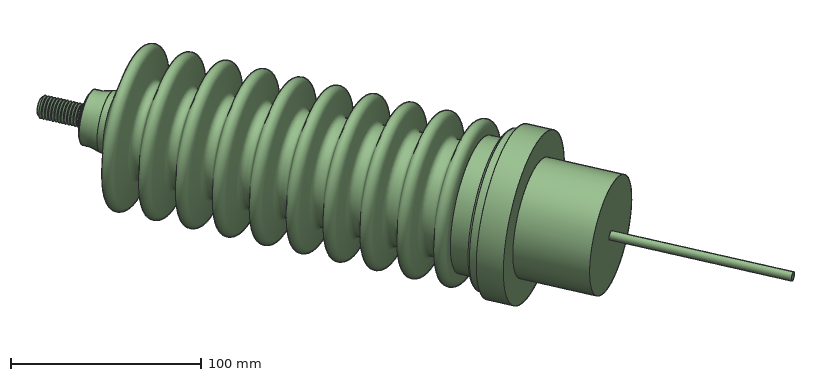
import cadquery as cq
import math


total_length = 420.5
boss_start = 24.0
collar_start = 26.0
insulator_start = 38.0
ring_start = 254.5
flange_start = 260.8
flange_end = 276.0
insulator_end = 319.0

stud_radius = 6.5
thread_pitch = 1.75
thread_depth = 1.05
tip_chamfer = 1.5
centre_hole_radius = 2.0
centre_hole_depth = 3.5
boss_front_radius = 7.5
boss_radius = 9.5
boss_cone_length = 1.3
rod_radius = 2.5

collar_face_radius = 13.0
collar_front_radius = 15.0
collar_rear_radius = 17.0
collar_chamfer_length = 1.3
collar_land_length = 4.0

insulator_front_radius = 17.0
shed_root_radius = 19.0
shed_count = 10
shed_pitch = 20.5
first_shed = 53.5
shed_radius = 45.5
shed_tip_round = 3.8
front_flank_angle = 18.0
rear_flank_angle = 9.0
last_shed_rear_angle = 0.0
core_front_radius = 25.5
core_rear_radius = 32.0
root_fillet = 2.5
seat_radius = 37.5
tail_radius = 33.0

ring_radius = 44.0
ring_chamfer = 1.3
flange_radius = 47.5


def turned(outline):
    """Revolve a closed wire of (axial, radial) points in the XZ plane about the X axis."""
    return outline.close().revolve(360, (0, 0, 0), (1, 0, 0))


def tube(start, end, outer_radius, inner_radius):
    length = end - start
    return cq.Workplane("YZ", origin=(start, 0, 0)).circle(outer_radius).circle(inner_radius).extrude(length)


def make_conductor():
    crest = stud_radius
    root = stud_radius - thread_depth
    groove_count = int((boss_start - tip_chamfer) / thread_pitch)
    points = [
        (centre_hole_depth, 0),
        (centre_hole_depth, centre_hole_radius),
        (0, centre_hole_radius),
        (0, crest - tip_chamfer),
        (tip_chamfer, crest),
    ]
    for i in range(groove_count):
        groove_start = tip_chamfer + i * thread_pitch
        points.append((groove_start + thread_pitch / 2, root))
        points.append((groove_start + thread_pitch, crest))
    points += [
        (boss_start, crest),
        (boss_start, boss_front_radius),
        (boss_start + boss_cone_length, boss_radius),
        (collar_start, boss_radius),
        (collar_start, rod_radius),
        (total_length, rod_radius),
        (total_length, 0),
    ]
    return turned(cq.Workplane("XZ").polyline(points))


def make_collar():
    land_start = collar_start + collar_chamfer_length
    points = [
        (collar_start, rod_radius),
        (collar_start, collar_face_radius),
        (land_start, collar_front_radius),
        (land_start + collar_land_length, collar_front_radius),
        (insulator_start, collar_rear_radius),
        (insulator_start, rod_radius),
    ]
    return turned(cq.Workplane("XZ").polyline(points))


def make_shed(centre, rear_angle):
    """One shed: a disc with two conical flanks and a rounded rim, down to the bore."""
    rim_centre = shed_radius - shed_tip_round
    front = math.radians(front_flank_angle)
    rear = math.radians(rear_angle)
    front_x = centre - shed_tip_round * math.cos(front)
    front_z = rim_centre + shed_tip_round * math.sin(front)
    rear_x = centre + shed_tip_round * math.cos(rear)
    rear_z = rim_centre + shed_tip_round * math.sin(rear)
    front_root = front_x - (front_z - shed_root_radius) * math.tan(front)
    rear_root = rear_x + (rear_z - shed_root_radius) * math.tan(rear)
    return turned(
        cq.Workplane("XZ")
        .moveTo(front_root, rod_radius)
        .lineTo(front_root, shed_root_radius)
        .lineTo(front_x, front_z)
        .threePointArc((centre, shed_radius), (rear_x, rear_z))
        .lineTo(rear_root, shed_root_radius)
        .lineTo(rear_root, rod_radius)
    )


def circles_between(body, smallest, largest):
    """The circular edges of a body whose radius lies between two limits."""
    circles = body.edges("%CIRCLE").vals()
    return body.newObject([edge for edge in circles if smallest < edge.radius() < largest])


def make_insulator():
    last_shed = first_shed + (shed_count - 1) * shed_pitch
    core_points = [
        (insulator_start, rod_radius),
        (insulator_start, insulator_front_radius),
        (first_shed, insulator_front_radius),
        (first_shed, core_front_radius),
        (last_shed, core_rear_radius),
        (last_shed, seat_radius),
        (flange_start, seat_radius),
        (flange_start, tail_radius),
        (insulator_end, tail_radius),
        (insulator_end, rod_radius),
    ]
    body = turned(cq.Workplane("XZ").polyline(core_points))
    for i in range(shed_count - 1):
        body = body.union(make_shed(first_shed + i * shed_pitch, rear_flank_angle))
    body = body.union(make_shed(last_shed, last_shed_rear_angle))
    return circles_between(body, core_front_radius, core_rear_radius).fillet(root_fillet)


def make_ring():
    ring = tube(ring_start, flange_start, ring_radius, seat_radius)
    outer_front_edge = ring.faces("<X").edges(cq.selectors.RadiusNthSelector(-1))
    return outer_front_edge.chamfer(ring_chamfer)


def make_flange():
    return tube(flange_start, flange_end, flange_radius, tail_radius)


conductor = make_conductor()
collar = make_collar()
insulator = make_insulator()
ring = make_ring()
flange = make_flange()

result = cq.Compound.makeCompound(
    [conductor.val(), collar.val(), insulator.val(), ring.val(), flange.val()]
)